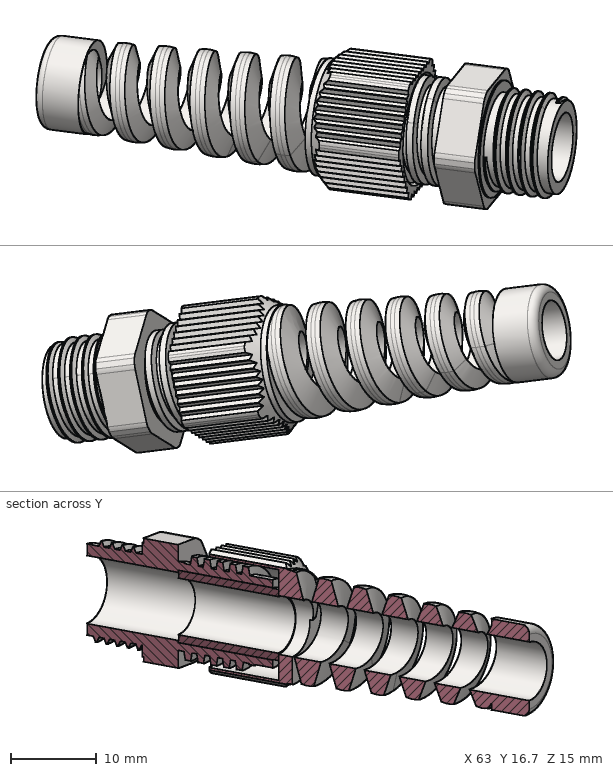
import cadquery as cq
import math


CAP_END = 5.4
COLLAR_START = 33.7
NUT_START = 34.45
NUT_END = 45.6
HEX_START = 49.95
HEX_END = 54.95
TOTAL_LENGTH = 63.0

HEX_SIDES = 6
SIDE_ANGLE = 360 / HEX_SIDES
HEX_ACROSS_FLATS = 15.0
HEX_CORNER_RADIUS = 1.95
NUT_ACROSS_CORNERS = 16.7
GLAND_ACROSS_CORNERS = 16.65

CAP_DIAMETER = 11.1
CAP_EDGE_RADIUS = 1.0
NUT_BORE = 7.05
COLLAR_DIAMETER = 13.85
NUT_CAVITY_DIAMETER = 13.35
NUT_FRONT_WALL = 1.25
KNURL_WIDTH = 0.95
KNURL_DEPTH = 0.47
KNURLS_PER_FLAT = 7
KNURL_SPREAD = 6.25
KNURL_PITCH = KNURL_SPREAD / (KNURLS_PER_FLAT - 1)

SPIRAL_PITCH = 5.0
SPIRAL_START = 2.95
SPIRAL_END = 35.3
SPIRAL_START_ANGLE = 270.0
SPIRAL_START_RADIUS = 5.35
SPIRAL_END_RADIUS = 6.9
SPIRAL_SHOULDER_WIDTH = 1.8
SPIRAL_CREST_WIDTH = 0.5
SPIRAL_CROWN_HEIGHT = 0.095
SPIRAL_BASE_WIDTH = 4.05

NECK_START = 36.55
NECK_DIAMETER = 10.7
FLANGE_DIAMETER = 13.85
FLANGE_THICKNESS = 0.2
STEM_DIAMETER = 11.1
GLAND_BORE = 8.2

NUT_THREAD_DIAMETER = 12.7
NUT_THREAD_PITCH = 1.8
NUT_THREAD_CREST = 0.8
NUT_THREAD_BASE = 1.3
NUT_THREAD_END = 49.5
NUT_THREAD_TURNS = 5.5
NUT_THREAD_START = NUT_THREAD_END - NUT_THREAD_TURNS * NUT_THREAD_PITCH
NUT_THREAD_START_ANGLE = -360 * NUT_THREAD_TURNS

STEM_THREAD_DIAMETER = 12.35
STEM_THREAD_PITCH = 1.5
STEM_THREAD_CREST = 0.2
STEM_THREAD_BASE = 1.15
STEM_THREAD_START = 55.25
STEM_THREAD_START_ANGLE = 90.0
STEM_THREAD_TURNS = 4.75

THREAD_FADE_TURNS = 0.2
THREAD_END_HEIGHT = 0.1
RIDGE_ROOT_OVERLAP = 0.25

SEAL_OUTER_DIAMETER = 8.7
SEAL_BORE = 6.8
SEAL_START = NUT_START + NUT_FRONT_WALL
SEAL_END = HEX_START

SEGMENT_TURNS = 1.0
SPLINE_SPANS = 16
TANGENT_STEP = 0.001


def rod(diameter, start, end):
    return cq.Workplane("YZ", origin=(start, 0, 0)).circle(diameter / 2).extrude(end - start)


def hexagon_bar(across_flats, start, end):
    corner_diameter = across_flats / math.cos(math.radians(SIDE_ANGLE / 2))
    return cq.Workplane("YZ", origin=(start, 0, 0)).polygon(HEX_SIDES, corner_diameter).extrude(end - start)


def hexagon(across_corners, start, end):
    """Hexagonal bar, flats facing +Z and -Z, with rounded corners trimmed to a narrow flat."""
    bar = hexagon_bar(HEX_ACROSS_FLATS, start, end).edges("|X").fillet(HEX_CORNER_RADIUS)
    trim = hexagon_bar(across_corners, start, end).rotate((0, 0, 0), (1, 0, 0), SIDE_ANGLE / 2)
    return bar.intersect(trim)


def helix_edge(pitch, start, angle, turn_span, offset, radius_at):
    """Right-handed helix about X; angle 0 is at +Z and 90 is at -Y, radius_at takes the turns so far."""
    first, last = turn_span

    def point(turn):
        direction = math.radians(angle) + 2 * math.pi * turn
        radius = radius_at(turn)
        x = start + offset + pitch * turn
        return cq.Vector(x, -radius * math.sin(direction), radius * math.cos(direction))

    def tangent(turn):
        return (point(turn + TANGENT_STEP) - point(turn - TANGENT_STEP)) / (2 * TANGENT_STEP)

    turns = [first + (last - first) * i / SPLINE_SPANS for i in range(SPLINE_SPANS + 1)]
    return cq.Edge.makeSpline(
        [point(turn) for turn in turns],
        tangents=[tangent(first), tangent(last)],
        parameters=turns,
        scale=False,
    )


def helical_ridge(pitch, start, angle, turns, half_section):
    """Solid ridge that winds around X, its long sides split into short arcs.

    half_section lists (width, radius function) from the base up; the section is symmetric.
    """
    rising = [(-width / 2, radius_at) for width, radius_at in half_section]
    falling = [(width / 2, radius_at) for width, radius_at in reversed(half_section)]
    corners = rising + falling
    segments = math.ceil(turns / SEGMENT_TURNS)
    faces = []
    for i in range(segments):
        span = (turns * i / segments, turns * (i + 1) / segments)
        edges = [helix_edge(pitch, start, angle, span, offset, radius) for offset, radius in corners]
        faces += [cq.Face.makeRuledSurface(a, b) for a, b in zip(edges, edges[1:] + edges[:1])]
        if i == 0:
            faces.append(end_face(edges, 0))
        if i == segments - 1:
            faces.append(end_face(edges, 1))
    ridge = cq.Solid.makeSolid(cq.Shell.makeShell(faces))
    return cq.Workplane(ridge.fix())


def end_face(edges, position):
    points = [edge.positionAt(position) for edge in edges]
    return cq.Face.makeFromWires(cq.Wire.makePolygon(points, close=True))


def thread(core_diameter, diameter, pitch, start, angle, turns, base_width, crest_width):
    """Thread ridge that sinks towards the core at both ends."""
    height = (diameter - core_diameter) / 2

    def root_at(turn):
        return core_diameter / 2 - RIDGE_ROOT_OVERLAP

    def crest_at(turn):
        rise = min(1, turn / THREAD_FADE_TURNS, (turns - turn) / THREAD_FADE_TURNS)
        return core_diameter / 2 + THREAD_END_HEIGHT + (height - THREAD_END_HEIGHT) * max(0, rise)

    half_section = [(base_width, root_at), (crest_width, crest_at)]
    return helical_ridge(pitch, start, angle, turns, half_section)


def spiral():
    turns = (SPIRAL_END - SPIRAL_START) / SPIRAL_PITCH

    def root_at(turn):
        return NUT_BORE / 2 - RIDGE_ROOT_OVERLAP

    def crest_at(turn):
        return SPIRAL_START_RADIUS + (SPIRAL_END_RADIUS - SPIRAL_START_RADIUS) * turn / turns

    def shoulder_at(turn):
        return crest_at(turn) - SPIRAL_CROWN_HEIGHT

    half_section = [
        (SPIRAL_BASE_WIDTH, root_at),
        (SPIRAL_SHOULDER_WIDTH, shoulder_at),
        (SPIRAL_CREST_WIDTH, crest_at),
    ]
    return helical_ridge(SPIRAL_PITCH, SPIRAL_START, SPIRAL_START_ANGLE, turns, half_section)


def knurled_nut():
    """Hexagon with a 45-degree front cone and V grooves along each flat."""
    apothem = HEX_ACROSS_FLATS / 2
    nut = hexagon(NUT_ACROSS_CORNERS, NUT_START, NUT_END)

    front_radius = COLLAR_DIAMETER / 2
    cone_growth = NUT_END - NUT_START
    cone = cq.Workplane("XY").polyline([
        (NUT_START, 0),
        (NUT_START, front_radius),
        (NUT_END, front_radius + cone_growth),
        (NUT_END, 0),
    ]).close().revolve(360, (0, 0, 0), (1, 0, 0))
    nut = nut.intersect(cone)

    for side in range(HEX_SIDES):
        for i in range(KNURLS_PER_FLAT):
            across = i * KNURL_PITCH - KNURL_SPREAD / 2
            groove = cq.Workplane("YZ", origin=(NUT_START, 0, 0)).polyline([
                (across - KNURL_WIDTH / 2, apothem),
                (across, apothem - KNURL_DEPTH),
                (across + KNURL_WIDTH / 2, apothem),
            ]).close().extrude(NUT_END - NUT_START)
            nut = nut.cut(groove.rotate((0, 0, 0), (1, 0, 0), SIDE_ANGLE * side))
    return nut


def spring_nut():
    cap = rod(CAP_DIAMETER, 0, CAP_END).faces("<X").edges().fillet(CAP_EDGE_RADIUS)
    collar = rod(COLLAR_DIAMETER, COLLAR_START, NUT_START)
    body = spiral().union(cap).union(collar).union(knurled_nut())
    cavity = rod(NUT_CAVITY_DIAMETER, SEAL_START, NUT_END)
    return body.cut(rod(NUT_BORE, 0, NUT_END)).cut(cavity)


def gland_body():
    neck = rod(NECK_DIAMETER, NECK_START, HEX_START)
    flange = rod(FLANGE_DIAMETER, HEX_END, HEX_END + FLANGE_THICKNESS)
    stem = rod(STEM_DIAMETER, HEX_END, TOTAL_LENGTH)
    nut_thread = thread(
        NECK_DIAMETER, NUT_THREAD_DIAMETER, NUT_THREAD_PITCH,
        NUT_THREAD_START, NUT_THREAD_START_ANGLE, NUT_THREAD_TURNS, NUT_THREAD_BASE, NUT_THREAD_CREST,
    )
    stem_thread = thread(
        STEM_DIAMETER, STEM_THREAD_DIAMETER, STEM_THREAD_PITCH,
        STEM_THREAD_START, STEM_THREAD_START_ANGLE, STEM_THREAD_TURNS,
        STEM_THREAD_BASE, STEM_THREAD_CREST,
    )
    body = neck.union(nut_thread).union(stem.union(stem_thread))
    body = body.union(hexagon(GLAND_ACROSS_CORNERS, HEX_START, HEX_END)).union(flange)
    seal_seat = rod(SEAL_OUTER_DIAMETER, NECK_START, SEAL_END)
    return body.cut(rod(GLAND_BORE, NECK_START, TOTAL_LENGTH)).cut(seal_seat)


def seal():
    sleeve = rod(SEAL_OUTER_DIAMETER, SEAL_START, SEAL_END)
    return sleeve.cut(rod(SEAL_BORE, SEAL_START, SEAL_END))


result = cq.Compound.makeCompound([
    spring_nut().val().Solids()[0],
    gland_body().val().Solids()[0],
    seal().val().Solids()[0],
])